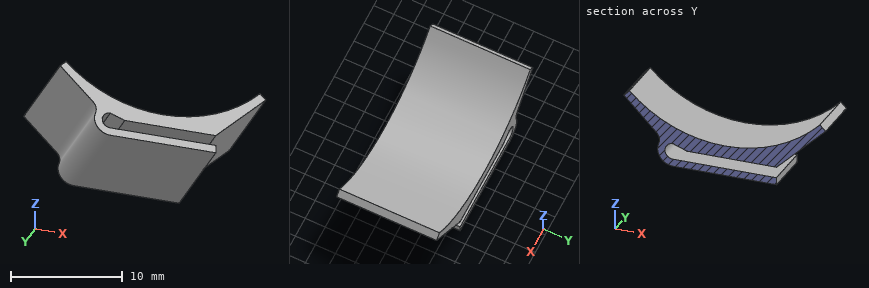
import cadquery as cq
import math

width = 10.0
saddle_radius = 13.0
saddle_half_angle = 45.0
saddle_low_z = 3.0
tip_thickness = 0.8
strip_thickness = 0.75
slot_height = 1.0
slot_end_radius = 0.75
bend_x = -5.0
strip_end_x = 5.0
ramp_angle = 20.0
neck_radius = 1.0


def polar(center, radius, degrees):
    """Point at a given angle (from +X towards +Z) on a circle."""
    angle = math.radians(degrees)
    return (center[0] + radius * math.cos(angle), center[1] + radius * math.sin(angle))


saddle_center = (0.0, saddle_low_z + saddle_radius)
left_angle = -90.0 - saddle_half_angle
right_angle = -90.0 + saddle_half_angle
outer_radius = saddle_radius + tip_thickness
left_inner_tip = polar(saddle_center, saddle_radius, left_angle)
left_outer_tip = polar(saddle_center, outer_radius, left_angle)
right_inner_tip = polar(saddle_center, saddle_radius, right_angle)
right_outer_tip = polar(saddle_center, outer_radius, right_angle)

bend_outer_radius = slot_end_radius + strip_thickness
bend_center = (bend_x, bend_outer_radius)
body_bottom_z = strip_thickness + slot_height

ramp_top = (bend_x, bend_outer_radius + slot_end_radius)
ramp_length_x = (ramp_top[1] - body_bottom_z) / math.tan(math.radians(ramp_angle))
ramp_foot = (bend_x + ramp_length_x, body_bottom_z)

radial = polar((0.0, 0.0), 1.0, left_angle)
flank = (-radial[1], radial[0])
tip_to_bend = (bend_center[0] - left_outer_tip[0], bend_center[1] - left_outer_tip[1])
bend_along = tip_to_bend[0] * flank[0] + tip_to_bend[1] * flank[1]
bend_across = tip_to_bend[0] * radial[0] + tip_to_bend[1] * radial[1]
center_distance = bend_outer_radius + neck_radius
flank_length = bend_along - math.sqrt(center_distance**2 - (neck_radius - bend_across) ** 2)
flank_end = (
    left_outer_tip[0] + flank_length * flank[0],
    left_outer_tip[1] + flank_length * flank[1],
)
neck_center = (
    flank_end[0] + neck_radius * radial[0],
    flank_end[1] + neck_radius * radial[1],
)
neck_to_bend_angle = math.degrees(
    math.atan2(bend_center[1] - neck_center[1], bend_center[0] - neck_center[0])
)
neck_start_angle = left_angle + 180.0
neck_mid = polar(neck_center, neck_radius, (neck_start_angle + neck_to_bend_angle) / 2)
neck_end = polar(neck_center, neck_radius, neck_to_bend_angle)

bottom_angle = 270.0
bend_start_angle = neck_to_bend_angle + 180.0
bend_outer_mid = polar(bend_center, bend_outer_radius, (bend_start_angle + bottom_angle) / 2)
bend_inner_mid = polar(bend_center, slot_end_radius, 180.0)

profile = (
    cq.Workplane("XZ", origin=(0, width / 2, 0))
    .moveTo(*left_inner_tip)
    .lineTo(*left_outer_tip)
    .lineTo(*flank_end)
    .threePointArc(neck_mid, neck_end)
    .threePointArc(bend_outer_mid, (bend_x, 0.0))
    .lineTo(strip_end_x, 0.0)
    .lineTo(strip_end_x, strip_thickness)
    .lineTo(bend_x, strip_thickness)
    .threePointArc(bend_inner_mid, ramp_top)
    .lineTo(*ramp_foot)
    .lineTo(strip_end_x, body_bottom_z)
    .lineTo(*right_outer_tip)
    .lineTo(*right_inner_tip)
    .threePointArc((0.0, saddle_low_z), left_inner_tip)
    .close()
)

result = profile.extrude(width)